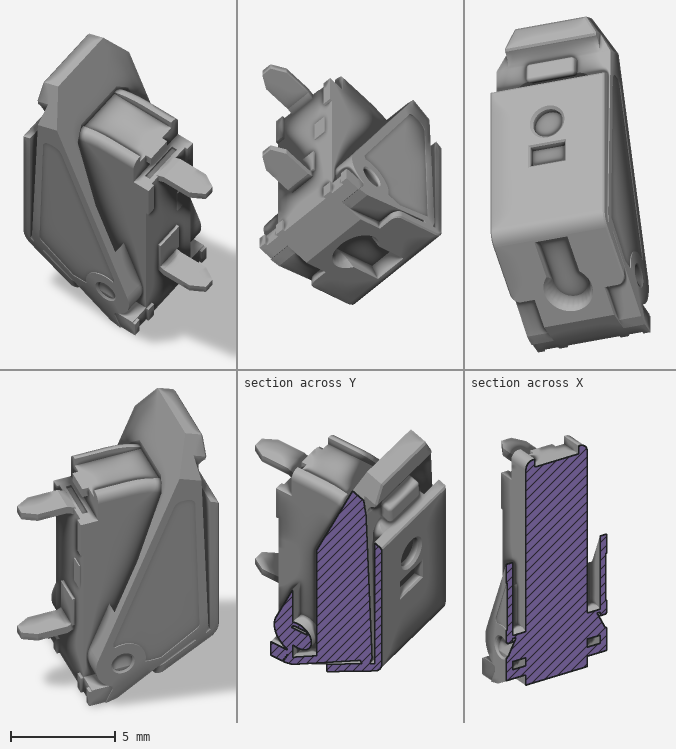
import cadquery as cq
import math

width = 5.8
half_width = width / 2
rear_x = 6.7
back_wall_x = 6.55
bottom_z = 0.03

cover_thickness = 0.45
cover_top_z = 10.76
cover_edge_round = 0.07
top_slope = 24.0
wire_slope = 30.0
flat_start_x = 4.55
bend_radius = 0.88
flange_end_x = 3.26
flange_corner = 0.44
cover_rear_top_z = cover_top_z + cover_thickness * math.tan(math.radians(top_slope))
slope_rise = math.tan(math.radians(wire_slope))

body_half = 1.78
body_front_x = cover_thickness
roof_front_x = 0.88
body_top_z = 12.05
body_top_end_x = 5.8
ledge_z = 10.55
roof_flat_start_x = 4.08
roof_arc_radius = 4.7
roof_arc_angle = 18.0
roof_round = 0.44
channel_half = 1.25
channel_start_x = 2.35
channel_floor_z = 11.63

lever_tilt = 22.6
lever_top = (1.32, 14.68)
pivot_x = 4.96
pivot_z = 2.22
pivot_radius = 1.4
heel_x = 5.5
heel_notch_z = 0.73
heel_tip_x = 5.85
pivot_hole_radius = 0.53
pivot_hole_chamfer = 0.07
window_half = body_half + 0.03
window_top_z = 11.38
window_corner = 0.62
window_flare = 0.23
wide_half = 2.5
hook_chamfer = 0.09

pin_y = -0.15
pin_width = 1.34
pin_thickness = 0.41
pin_end_x = 9.1
pin_taper_x = 8.41
pin_tip_width = 0.55
pin_straight_x = 6.88
upper_pin_top_z = 10.79
lower_pin_top_z = 3.26
pin_crank = 0.2


def box(x0, x1, y0, y1, z0, z1):
    """Box given by its limits."""
    return cq.Workplane("XY").box(x1 - x0, y1 - y0, z1 - z0, centered=False).translate((x0, y0, z0))


def side_plate(points, half):
    """Closed XZ polygon extruded symmetrically about the mid plane."""
    return cq.Workplane("XZ").polyline(points).close().extrude(half, both=True)


def both_sides(solid):
    """The solid together with its mirror image across the mid plane."""
    return solid.union(solid.mirror("XZ"))


def underside_z(x):
    """Height of the sloped underside at x."""
    return bottom_z + (flat_start_x - x) * slope_rise


def pivot_disc(radius, y0, y1):
    """Disc on the pivot axis between two Y positions."""
    return cq.Workplane("XZ", origin=(pivot_x, y1, pivot_z)).circle(radius).extrude(y1 - y0)


def make_cover():
    """Bent front plate with its sloped flange, marking recesses included."""
    inner_drop = cover_thickness / math.cos(math.radians(wire_slope))
    outline = [
        (0, cover_top_z),
        (0, underside_z(0)),
        (flange_end_x, underside_z(flange_end_x)),
        (flange_end_x, underside_z(flange_end_x) + inner_drop),
        (cover_thickness, underside_z(cover_thickness) + inner_drop),
        (cover_thickness, cover_rear_top_z),
    ]
    cover = side_plate(outline, half_width)
    bend = cq.selectors.NearestToPointSelector((0, 0, underside_z(0)))
    cover = cover.edges(bend).fillet(bend_radius)
    for side in (-1, 1):
        mid_z = underside_z(flange_end_x) + inner_drop / 2
        corner = cq.selectors.NearestToPointSelector((flange_end_x, side * half_width, mid_z))
        cover = cover.edges(corner).fillet(flange_corner)
    cover = cover.faces("<X").edges("|Z or >Z").chamfer(cover_edge_round)

    round_z = 8.59
    round_radius = 0.88
    round_floor_radius = 0.75
    slot_z = 6.84
    slot_width = 1.92
    slot_height = 1.2
    recess_depth = 0.44
    recess_rim = 0.09
    front = cq.Workplane("YZ")
    hole = front.center(0, round_z).circle(round_floor_radius).extrude(recess_depth)
    hole = hole.union(
        front.center(0, round_z).circle(round_radius)
        .workplane(offset=round_radius - round_floor_radius).circle(round_floor_radius).loft()
    )
    floor_width = slot_width - 2 * recess_rim
    floor_height = slot_height - 2 * recess_rim
    slot = front.center(0, slot_z).rect(floor_width, floor_height).extrude(recess_depth)
    slot = slot.union(
        front.center(0, slot_z).rect(slot_width, slot_height)
        .workplane(offset=recess_rim).rect(floor_width, floor_height).loft()
    )
    return cover.cut(hole).cut(slot)


def make_housing():
    """Central body with rounded roof rails, rear ribs, nose and foot."""
    angle = math.radians(roof_arc_angle)
    arc_end = (
        roof_flat_start_x - roof_arc_radius * math.sin(angle),
        body_top_z - roof_arc_radius * (1 - math.cos(angle)),
    )
    arc_mid = (
        roof_flat_start_x - roof_arc_radius * math.sin(angle / 2),
        body_top_z - roof_arc_radius * (1 - math.cos(angle / 2)),
    )
    roof_front_z = arc_end[1] - (arc_end[0] - roof_front_x) * math.tan(angle)
    body = (
        cq.Workplane("XZ")
        .moveTo(body_front_x, cover_rear_top_z)
        .lineTo(roof_front_x, roof_front_z)
        .lineTo(*arc_end)
        .threePointArc(arc_mid, (roof_flat_start_x, body_top_z))
        .lineTo(body_top_end_x, body_top_z)
        .lineTo(body_top_end_x, ledge_z)
        .lineTo(back_wall_x, ledge_z)
        .lineTo(back_wall_x, bottom_z)
        .lineTo(flat_start_x, bottom_z)
        .lineTo(body_front_x, underside_z(body_front_x))
        .close()
        .extrude(body_half, both=True)
    )
    flat_mid_x = (roof_flat_start_x + body_top_end_x) / 2
    for side in (-1, 1):
        roof_edge = cq.selectors.NearestToPointSelector((flat_mid_x, side * body_half, body_top_z))
        body = body.edges(roof_edge).fillet(roof_round)
    body = body.cut(
        box(channel_start_x, body_top_end_x, -channel_half, channel_half, channel_floor_z, body_top_z)
    )

    rib_inner = 1.34
    rib_bottom_z = 8.63
    pad_x = 6.6
    pad_bottom_z = 6.21
    pad_top_z = 7.6
    block_right_y = -0.81
    block_left_y = 0.68
    block_bottom_z = 3.38
    block_top_z = 5.02
    root_x = back_wall_x - 0.15
    body = body.union(both_sides(box(root_x, rear_x, rib_inner, body_half, rib_bottom_z, ledge_z)))
    body = body.union(box(root_x, pad_x, block_left_y, rib_inner, pad_bottom_z, pad_top_z))
    body = body.union(box(root_x, rear_x, block_right_y, block_left_y, block_bottom_z, block_top_z))

    nose_end_x = 6.1
    nose_bottom_z = 11.13
    nose_y = (-0.78, 0.5)
    slot_x = (6.02, 6.31)
    slot_y = (-1.16, 1.01)
    slot_depth = 0.15
    body = body.union(box(body_top_end_x - 0.15, nose_end_x, *nose_y, nose_bottom_z, channel_floor_z))
    body = body.cut(box(*slot_x, *slot_y, ledge_z - slot_depth, ledge_z))

    foot_top_z = 0.97
    rear_top_z = 0.91
    foot_inset = 0.05
    foot = side_plate(
        [(heel_x, heel_notch_z), (heel_x, foot_top_z), (back_wall_x, foot_top_z),
         (back_wall_x, rear_top_z), (rear_x, rear_top_z), (rear_x, bottom_z), (heel_tip_x, bottom_z)],
        half_width - foot_inset,
    )
    relief_outer = 2.5
    foot = foot.cut(both_sides(box(back_wall_x, rear_x, body_half, relief_outer, 0, foot_top_z)))
    foot = foot.cut(box(back_wall_x, rear_x, -rib_inner, rib_inner, 0, foot_top_z))
    return body.union(foot)


def make_pivot_boss():
    """Snap-in stub on one side: level at the bottom, ramped inward above."""
    boss_end = 2.79
    ramp_start_z = 1.88
    ramp_depth = 0.44
    top_z = pivot_z + pivot_hole_radius
    hub_radius = 0.82
    stub = pivot_disc(pivot_hole_radius, body_half - 0.15, boss_end)
    hub = pivot_disc(hub_radius, body_half - 0.15, wide_half)
    ramp = (
        cq.Workplane("YZ", origin=(pivot_x, 0, 0))
        .polyline([(boss_end, ramp_start_z), (boss_end, top_z), (boss_end - ramp_depth, top_z)])
        .close()
        .extrude(pivot_hole_radius, both=True)
    )
    return stub.cut(ramp).union(hub.cut(ramp))


def make_wire_entry():
    """Funnel and groove entering square to the sloped underside."""
    mouth_radius = 1.2
    throat_radius = 0.84
    funnel_depth = 0.82
    mouth_z = 0.92
    mouth_x = flat_start_x - (mouth_z - bottom_z) / slope_rise
    slope = math.radians(wire_slope)
    groove_top_z = 2.35
    groove_length = (groove_top_z - mouth_z) / math.sin(slope)
    plane = cq.Plane(
        origin=(mouth_x, 0, mouth_z),
        xDir=(-math.cos(slope), 0, math.sin(slope)),
        normal=(math.sin(slope), 0, math.cos(slope)),
    )
    funnel = (
        cq.Workplane(plane).circle(mouth_radius)
        .workplane(offset=funnel_depth).circle(throat_radius).loft()
    )
    groove = (
        cq.Workplane(plane).center(groove_length / 2, 0)
        .rect(groove_length, 2 * throat_radius).extrude(funnel_depth)
    )
    return funnel.union(groove)


def window_prism(half, top_z, x0, x1):
    """Lever window along X with rounded upper corners, open at the bottom."""
    below_lever_z = -2.94
    prism = box(x0, x1, -half, half, below_lever_z, top_z)
    return prism.edges("|X and >Z").fillet(window_corner + half - window_half)


def make_lever():
    """Tilted U-shaped lever: hooked top bridge and two pivoted side plates."""
    tilt = math.radians(lever_tilt)
    across = (math.cos(tilt), math.sin(tilt))
    rear_tangent = (pivot_x + pivot_radius * across[0], pivot_z + pivot_radius * across[1])
    heel_z = pivot_z - math.sqrt(pivot_radius ** 2 - (heel_x - pivot_x) ** 2)
    hook_x = 0.41
    lower_edge_start = (1.29, 2.63)
    lower_edge_end = (5.27, 0.13)
    throat = (0.92, 12.48)
    lever = (
        cq.Workplane("XZ")
        .moveTo(*lever_top)
        .lineTo(*rear_tangent)
        .threePointArc((pivot_x + pivot_radius, pivot_z), (heel_x, heel_z))
        .lineTo(heel_x, heel_notch_z)
        .lineTo(heel_tip_x, 0)
        .lineTo(*lower_edge_end)
        .lineTo(*lower_edge_start)
        .lineTo(1.19, 2.45)
        .lineTo(0.7, 2.73)
        .lineTo(0.57, 3.23)
        .lineTo(*throat)
        .threePointArc((0.84, 12.95), (hook_x, 13.2))
        .lineTo(hook_x, lever_top[1] - (lever_top[0] - hook_x) * math.tan(tilt))
        .close()
        .extrude(half_width, both=True)
    )

    taper_length = 1.92
    tip_half = 1.8
    bridge_reach = 2.2
    tip_plane = cq.Plane(
        origin=(lever_top[0], 0, lever_top[1]), xDir=(0, 1, 0), normal=(across[0], 0, across[1])
    )
    taper = (
        cq.Workplane(tip_plane)
        .polyline([(tip_half, 0), (half_width, -taper_length), (half_width + 0.15, -taper_length),
                   (half_width + 0.15, 0.15), (tip_half, 0.15)])
        .close()
        .extrude(bridge_reach, both=True)
    )
    lever = lever.cut(both_sides(taper))

    notch_inner = 2.32
    notch_top_z = 13.62
    notch = [(0, throat[1]), throat, (1.1, notch_top_z), (0, notch_top_z)]
    lever = lever.cut(side_plate(notch, half_width).cut(side_plate(notch, notch_inner)))
    lever = lever.faces("<X").edges().chamfer(hook_chamfer)

    flare_start_x = 0.73
    flare_depth = 0.51
    window_height = 13.21
    opening = window_prism(window_half, window_top_z, 0, rear_x)
    front_opening = window_prism(window_half + window_flare, window_top_z + window_flare, 0, flare_start_x)
    flare_taper = math.degrees(math.atan(window_flare / flare_depth))
    flare = (
        cq.Workplane("YZ", origin=(flare_start_x, 0, window_top_z - window_height / 2))
        .sketch()
        .rect(2 * (window_half + window_flare), window_height + 2 * window_flare)
        .vertices()
        .fillet(window_corner + window_flare)
        .finalize()
        .extrude(flare_depth, taper=flare_taper)
    )
    opening = opening.union(front_opening).union(flare)
    opening_start_x = 2.41
    opening_end_x = 5.24
    rear_opening = (
        cq.Workplane("XY")
        .polyline([(opening_start_x, 0), (opening_start_x, 1.41), (2.64, 2.03), (4.07, wide_half),
                   (opening_end_x, wide_half), (opening_end_x, 0)])
        .close()
        .extrude(lever_top[1])
    )
    floor_height = 0.51
    floor_line = [lower_edge_start, lower_edge_end, (heel_tip_x, 0)]
    floor_top = [(x, z + floor_height) for x, z in reversed(floor_line)]
    floor_outline = floor_line + floor_top
    floor = side_plate(floor_outline, half_width).cut(side_plate(floor_outline, body_half))
    cavity = opening.union(both_sides(rear_opening)).cut(floor)
    lever = lever.cut(cavity)

    hole = pivot_disc(pivot_hole_radius, -half_width, half_width)
    rim = (
        cq.Workplane("XZ", origin=(pivot_x, half_width, pivot_z))
        .circle(pivot_hole_radius + pivot_hole_chamfer)
        .workplane(offset=pivot_hole_chamfer).circle(pivot_hole_radius).loft()
    )
    lever = lever.cut(hole).cut(both_sides(rim))

    panel_depth = 0.05
    panel_clearance = 1.17
    panel = (
        cq.Workplane("XZ", origin=(0, half_width, 0))
        .polyline([(1.25, 11.45), (2.23, 11.45), (5.49, 3.52), (pivot_x, pivot_z),
                   (3.67, 1.95), (3.01, 1.95), (1.01, 3.29)])
        .close()
        .extrude(panel_depth)
    )
    panel = panel.edges("|Y").edges("<X or >X").fillet(0.26)
    panel = panel.edges("|Y").edges(">Z").fillet(0.44)
    clearance = pivot_disc(panel_clearance, half_width - panel_depth, half_width)
    return lever.cut(both_sides(panel.cut(clearance)))


def make_latch_tab():
    """Rounded latch tab standing in front of the lever bridge."""
    tab_half = 1.22
    tab = side_plate([(0.32, 11.15), (0.37, 12.17), (1.17, 12.51), (1.17, 11.55)], tab_half)
    return tab.edges().fillet(0.18)


def make_pin(top_z, crank):
    """Tapered flat pin; crank is the height of its root above the straight part."""
    root_x = 6.45
    low_z = top_z - pin_thickness
    pin = (
        cq.Workplane("XY", origin=(0, pin_y, low_z))
        .polyline([(pin_straight_x, -pin_width / 2), (pin_taper_x, -pin_width / 2),
                   (pin_end_x, -pin_tip_width / 2), (pin_end_x, pin_tip_width / 2),
                   (pin_taper_x, pin_width / 2), (pin_straight_x, pin_width / 2)])
        .close()
        .extrude(pin_thickness)
    )
    root = side_plate(
        [(root_x, low_z + crank), (pin_straight_x, low_z),
         (pin_straight_x, top_z), (root_x, top_z + crank)],
        pin_width / 2,
    )
    return pin.union(root.translate((0, pin_y, 0)))


result = make_housing().union(make_cover()).cut(make_wire_entry())
result = result.union(make_lever()).union(both_sides(make_pivot_boss()))
result = result.union(make_latch_tab())
result = result.union(make_pin(upper_pin_top_z, -pin_crank))
result = result.union(make_pin(lower_pin_top_z, pin_crank))